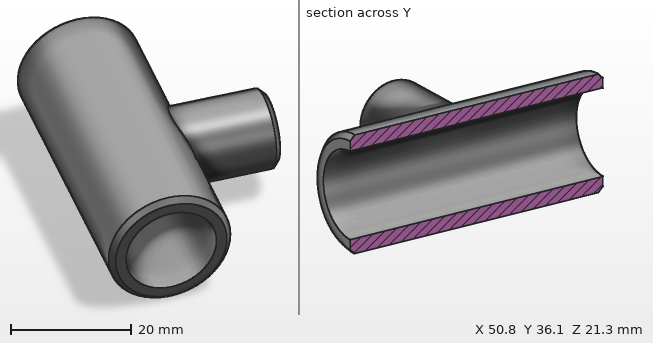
import cadquery as cq

run_length = 50.8
run_diameter = 21.34
run_bore = 15.8
branch_diameter = 13.72
branch_reach = run_length / 2
end_chamfer = 0.95


def run_cylinder(diameter):
    """Cylinder along X, centred on the origin, as long as the run."""
    return cq.Workplane("YZ").circle(diameter / 2).extrude(run_length / 2, both=True)


def run_body():
    """Solid run, chamfered around both ends."""
    return run_cylinder(run_diameter).faces("<X or >X").chamfer(end_chamfer)


def branch_body():
    """Solid branch from the run axis, chamfered around its free end."""
    cylinder = cq.Workplane("XZ").circle(branch_diameter / 2).extrude(-branch_reach)
    return cylinder.faces(">Y").chamfer(end_chamfer)


result = run_body().union(branch_body()).cut(run_cylinder(run_bore))